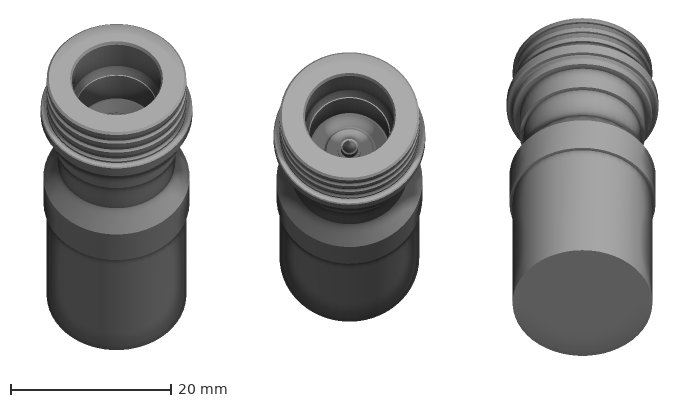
import cadquery as cq

TOTAL_HEIGHT = 44.45
TUBE_RADIUS = 8.7
TUBE_TOP = 19.05
SLEEVE_RADIUS = 9.1
SLEEVE_TOP = 24.3
NECK_RADIUS = 7.35
NECK_BOTTOM = 27.35
NECK_TOP = 32.1
SHOULDER_RADIUS = 7.83
SHOULDER_TOP = 35.6
FLANGE_RADIUS = 9.45
FLANGE_BOTTOM = 36.95
FLANGE_TOP = 38.45
EDGE_CHAMFER = 0.15
ROOT_CHAMFER = 0.22

RIDGE_COUNT = 3
RIDGED_LENGTH = 5.43
RIDGE_PITCH = RIDGED_LENGTH / RIDGE_COUNT
RIDGE_CHAMFER = 0.25
RIDGE_HEIGHT = 1.0
GROOVE_RADIUS = TUBE_RADIUS - RIDGE_CHAMFER

MOUTH_CHAMFER = 0.22
MOUTH_CHAMFER_DEPTH = 0.4
MOUTH_RADIUS = 5.55
TAPER_TOP = 39.7
TAPER_BOTTOM = 38.45
TAPER_END_RADIUS = 5.1
SOCKET_RADIUS = 5.0
SOCKET_FLOOR = 33.8
FUNNEL_RADIUS = 4.75
FUNNEL_BOTTOM = 33.3
FUNNEL_END_RADIUS = 3.35

CORE_RADIUS = 3.1
CORE_BOTTOM = 26.7
CORE_TOP = 33.57
CORE_CHAMFER = 0.25
CORE_STEP_RADIUS = 1.45
CORE_STEP_HEIGHT = 0.22
PIN_RADIUS = 1.05
PIN_TOP = 34.7
TIP_RADIUS = 0.85
TIP_HEIGHT = 2.22


def revolve_profile(points):
    """Turn a closed (radius, height) outline around the Z axis."""
    return cq.Workplane("XZ").polyline(points).close().revolve(360, (0, 0, 0), (0, 1, 0))


def ridge_points():
    """Outline of the ridged top end, from the flange up to the top face."""
    points = [
        (TUBE_RADIUS, FLANGE_TOP),
        (TUBE_RADIUS, TOTAL_HEIGHT - RIDGED_LENGTH - RIDGE_CHAMFER),
        (GROOVE_RADIUS, TOTAL_HEIGHT - RIDGED_LENGTH),
    ]
    for index in reversed(range(RIDGE_COUNT)):
        ridge_top = TOTAL_HEIGHT - index * RIDGE_PITCH
        points += [
            (GROOVE_RADIUS, ridge_top - RIDGE_HEIGHT),
            (TUBE_RADIUS, ridge_top - RIDGE_HEIGHT),
            (TUBE_RADIUS, ridge_top - RIDGE_CHAMFER),
            (GROOVE_RADIUS, ridge_top),
        ]
    return points


def make_housing():
    """Stepped tube with a flange, a ridged top end and a blind stepped bore."""
    lower_outline = [
        (0, 0),
        (TUBE_RADIUS, 0),
        (TUBE_RADIUS, TUBE_TOP),
        (SLEEVE_RADIUS, TUBE_TOP),
        (SLEEVE_RADIUS, SLEEVE_TOP),
        (NECK_RADIUS, NECK_BOTTOM),
        (NECK_RADIUS, NECK_TOP),
        (SHOULDER_RADIUS, NECK_TOP),
        (SHOULDER_RADIUS, SHOULDER_TOP),
    ]
    flange_outline = [
        (TUBE_RADIUS - EDGE_CHAMFER, SHOULDER_TOP),
        (TUBE_RADIUS, SHOULDER_TOP + EDGE_CHAMFER),
        (TUBE_RADIUS, FLANGE_BOTTOM - ROOT_CHAMFER),
        (TUBE_RADIUS + ROOT_CHAMFER, FLANGE_BOTTOM),
        (FLANGE_RADIUS - EDGE_CHAMFER, FLANGE_BOTTOM),
        (FLANGE_RADIUS, FLANGE_BOTTOM + EDGE_CHAMFER),
        (FLANGE_RADIUS, FLANGE_TOP - EDGE_CHAMFER),
        (FLANGE_RADIUS - EDGE_CHAMFER, FLANGE_TOP),
    ]
    bore_outline = [
        (MOUTH_RADIUS + MOUTH_CHAMFER, TOTAL_HEIGHT),
        (MOUTH_RADIUS, TOTAL_HEIGHT - MOUTH_CHAMFER_DEPTH),
        (MOUTH_RADIUS, TAPER_TOP),
        (TAPER_END_RADIUS, TAPER_BOTTOM),
        (SOCKET_RADIUS, TAPER_BOTTOM),
        (SOCKET_RADIUS, SOCKET_FLOOR),
        (FUNNEL_RADIUS, SOCKET_FLOOR),
        (FUNNEL_END_RADIUS, FUNNEL_BOTTOM),
        (CORE_RADIUS, FUNNEL_BOTTOM),
        (CORE_RADIUS, CORE_BOTTOM),
        (0, CORE_BOTTOM),
    ]
    return revolve_profile(lower_outline + flange_outline + ridge_points() + bore_outline)


def make_core():
    """Round plug that fills the bottom of the bore and carries a pointed centre pin."""
    return revolve_profile([
        (0, CORE_BOTTOM),
        (CORE_RADIUS, CORE_BOTTOM),
        (CORE_RADIUS, CORE_TOP - CORE_CHAMFER),
        (CORE_RADIUS - CORE_CHAMFER, CORE_TOP),
        (CORE_STEP_RADIUS, CORE_TOP),
        (CORE_STEP_RADIUS, CORE_TOP + CORE_STEP_HEIGHT),
        (PIN_RADIUS, CORE_TOP + CORE_STEP_HEIGHT),
        (PIN_RADIUS, PIN_TOP),
        (TIP_RADIUS, PIN_TOP),
        (0, PIN_TOP + TIP_HEIGHT),
    ])


housing = make_housing()
core = make_core()
result = cq.Compound.makeCompound([housing.val(), core.val()])